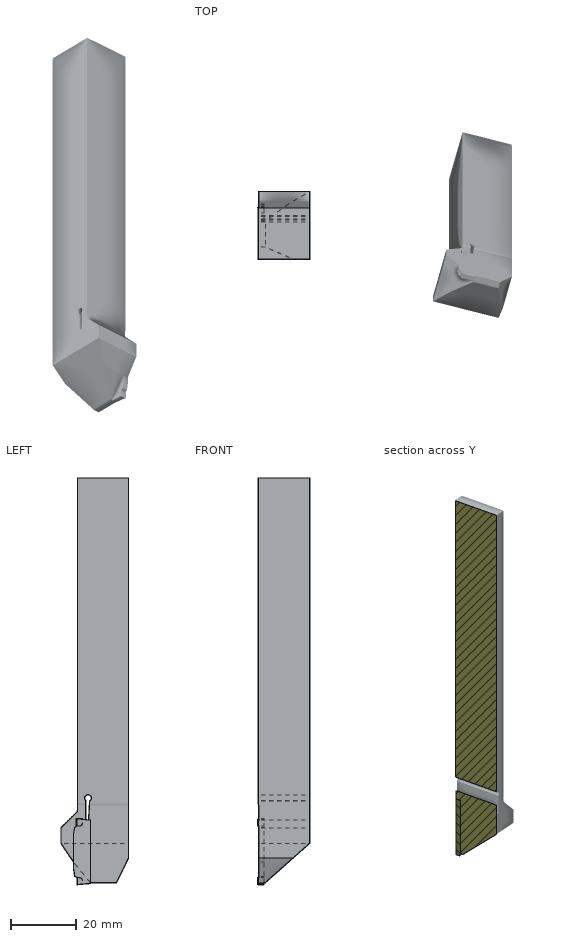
import cadquery as cq

total_length = 125.0
total_width = 16.0
shank_depth = 15.8
tip_overhang = 0.1
shank_flank_x = tip_overhang

flank_setback = 0.1
nose_flank_x = shank_flank_x + flank_setback
ramp_low_z = 24.4
ramp_high_z = 24.9

nose_z = 0.6
nose_chamfer_y = 3.8
nose_chamfer_z = 8.2
bevel_start_x = 1.6
bevel_end_z = 12.8

jaw_y = 20.9
jaw_top_z = 22.5
jaw_shoulder_z = 17.5
jaw_lower_z = 12.8
jaw_end_z = 7.0
jaw_root_radius = 1.2

slot_hole_y = 12.5
slot_hole_z = 26.6
slot_hole_radius = 1.0
slot_jaw_y = 13.1
slot_top_y = 12.0
slot_bottom_y = 12.4

insert_thickness = 2.0
insert_length = 20.2
insert_back_y = 11.8
insert_edge_y = 15.9
insert_crown_y = 17.0
insert_shoulder_y = 16.6
end_relief = 0.4
rake_z = 2.19
shoulder_z = 2.6
crown_z = 5.0
tip_corner_radius = 0.2

wedge_back_y = 14.2
wedge_corner_radius = 0.9

tip_clearance_y = 0.4
tip_clearance_z = 0.1


def prism_along_x(points, start_x, end_x):
    """Solid with the given (Y, Z) outline between two X positions."""
    outline = cq.Workplane("YZ", origin=(start_x, 0, 0)).polyline(points).close()
    return outline.extrude(end_x - start_x)


def prism_along_y(points):
    """Solid with the given (X, Z) outline from the back of the shank to the jaw."""
    return cq.Workplane("XZ").polyline(points).close().extrude(-jaw_y)


def insert_body():
    lower_half = [
        (insert_back_y, end_relief),
        (insert_edge_y, 0),
        (insert_edge_y, rake_z),
        (insert_shoulder_y, shoulder_z),
        (insert_crown_y, crown_z),
    ]
    upper_half = [(y, insert_length - z) for y, z in reversed(lower_half)]
    return prism_along_x(lower_half + upper_half, nose_flank_x, insert_thickness)


def tip_wedge():
    """Wedge on the flank of the lower tip, with a rounded inner corner."""
    relief_per_depth = end_relief / (insert_edge_y - insert_back_y)
    wedge_back_z = (insert_edge_y - wedge_back_y) * relief_per_depth
    side_block = (
        cq.Workplane("YZ")
        .moveTo(insert_edge_y, 0)
        .lineTo(insert_edge_y, rake_z)
        .lineTo(wedge_back_y + wedge_corner_radius, rake_z)
        .radiusArc((wedge_back_y, rake_z - wedge_corner_radius), -wedge_corner_radius)
        .lineTo(wedge_back_y, wedge_back_z)
        .close()
        .extrude(nose_flank_x)
    )
    taper = (
        cq.Workplane("XY")
        .polyline([
            (nose_flank_x, wedge_back_y),
            (0, insert_edge_y),
            (nose_flank_x, insert_edge_y),
        ])
        .close()
        .extrude(rake_z)
    )
    return side_block.intersect(taper)


def make_insert():
    lower_wedge = tip_wedge()
    upper_wedge = lower_wedge.mirror("XY", (0, 0, insert_length / 2))
    blank = insert_body().union(lower_wedge).union(upper_wedge)
    end_corners = blank.faces("<Z or >Z").edges("not(#Y or |X)")
    return end_corners.fillet(tip_corner_radius)


def holder_blank():
    blank = prism_along_x(
        [
            (0, total_length),
            (0, nose_chamfer_z),
            (nose_chamfer_y, nose_z),
            (insert_back_y, nose_z),
            (insert_crown_y, jaw_end_z),
            (jaw_y, jaw_lower_z),
            (jaw_y, jaw_shoulder_z),
            (shank_depth, jaw_top_z),
            (shank_depth, total_length),
        ],
        shank_flank_x,
        total_width,
    )
    jaw_root = cq.selectors.NearestToPointSelector((total_width / 2, shank_depth, jaw_top_z))
    return blank.edges(jaw_root).fillet(jaw_root_radius)


def bevel_cutter():
    """Everything below the slope that thins the nose toward the flank."""
    return prism_along_y([(bevel_start_x, 0), (total_width, bevel_end_z), (total_width, 0)])


def flank_cutter():
    """Layer removed from the flank of the working end, with its ramp."""
    return prism_along_y([
        (shank_flank_x, 0),
        (nose_flank_x, 0),
        (nose_flank_x, ramp_low_z),
        (shank_flank_x, ramp_high_z),
    ])


def clamping_slot():
    bottom_z = insert_length - end_relief
    slot = prism_along_x(
        [
            (slot_jaw_y, slot_hole_z),
            (slot_top_y, slot_hole_z),
            (slot_bottom_y, bottom_z),
            (slot_jaw_y, bottom_z),
        ],
        shank_flank_x,
        total_width,
    )
    hole = (
        cq.Workplane("YZ", origin=(shank_flank_x, slot_hole_y, slot_hole_z))
        .circle(slot_hole_radius)
        .extrude(total_width - shank_flank_x)
    )
    return slot.union(hole)


def insert_seat():
    """Recess that matches the insert, with clearance around the upper tip."""
    clearance_low_z = insert_length - rake_z
    clearance_high_z = insert_length + tip_clearance_z
    clearance_y = insert_edge_y + tip_clearance_y
    clearance = prism_along_x(
        [
            (wedge_back_y, clearance_low_z),
            (clearance_y, clearance_low_z),
            (clearance_y, clearance_high_z),
            (wedge_back_y, clearance_high_z),
        ],
        nose_flank_x,
        insert_thickness,
    )
    return insert_body().union(clearance)


def make_holder():
    holder = holder_blank()
    for cutter in (bevel_cutter(), flank_cutter(), clamping_slot(), insert_seat()):
        holder = holder.cut(cutter)
    return holder


holder = make_holder()
insert = make_insert()
result = cq.Compound.makeCompound([holder.val(), insert.val()])